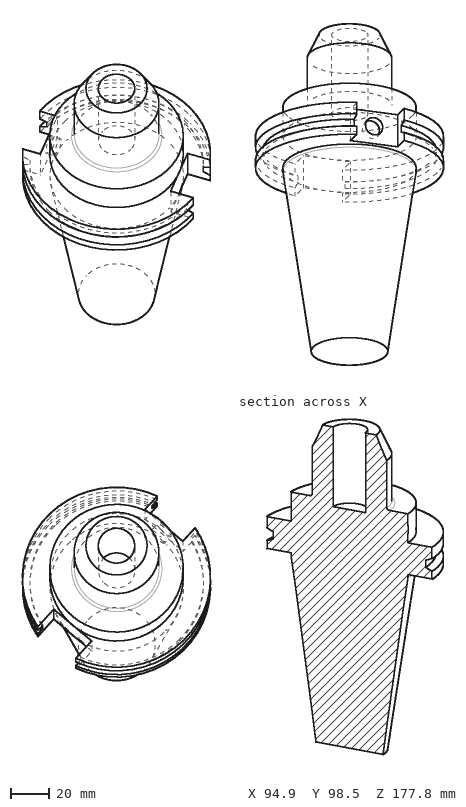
import cadquery as cq

total_height = 177.8
taper_top = 101.3
flange_bottom = 103.0
flange_top = 120.9
collar_top = 137.0
nose_shoulder = 164.6

taper_small_diameter = 40.2
taper_large_diameter = 69.9
flange_diameter = 98.5
collar_diameter = 69.9
nose_diameter = 44.5
nose_tip_diameter = 32.0
nose_fillet_radius = 1.5

groove_floor_diameter = 90.9
groove_middle = 111.0
groove_mouth_width = 7.0
groove_floor_width = 3.7

slot_width = 26.3
minus_x_slot_floor = 37.7
plus_x_slot_floor = 34.8

bore_diameter = 19.0
bore_depth = 44.5
side_hole_diameter = 9.6
side_hole_depth = 5.0
side_hole_height = 112.7


def revolved_body():
    """Taper, grooved flange, collar and nose turned about Z."""
    flange_radius = flange_diameter / 2
    groove_radius = groove_floor_diameter / 2
    collar_radius = collar_diameter / 2
    nose_radius = nose_diameter / 2
    profile = (
        cq.Workplane("XZ")
        .lineTo(taper_small_diameter / 2, 0)
        .lineTo(taper_large_diameter / 2, taper_top)
        .lineTo(taper_large_diameter / 2, flange_bottom)
        .lineTo(flange_radius, flange_bottom)
        .lineTo(flange_radius, groove_middle - groove_mouth_width / 2)
        .lineTo(groove_radius, groove_middle - groove_floor_width / 2)
        .lineTo(groove_radius, groove_middle + groove_floor_width / 2)
        .lineTo(flange_radius, groove_middle + groove_mouth_width / 2)
        .lineTo(flange_radius, flange_top)
        .lineTo(collar_radius, flange_top)
        .lineTo(collar_radius, collar_top)
        .lineTo(nose_radius + nose_fillet_radius, collar_top)
        .radiusArc((nose_radius, collar_top + nose_fillet_radius), nose_fillet_radius)
        .lineTo(nose_radius, nose_shoulder)
        .lineTo(nose_tip_diameter / 2, total_height)
        .lineTo(0, total_height)
        .close()
    )
    return profile.revolve(360, (0, 0, 0), (0, 1, 0))


def drive_slot(side, floor_distance):
    """Cutter from the slot floor outward past the rim; side is -1 or +1 along X."""
    cutter_length = flange_diameter / 2
    return cq.Workplane("XY").box(
        cutter_length, slot_width, flange_top - flange_bottom, centered=(True, True, False)
    ).translate((side * (floor_distance + cutter_length / 2), 0, flange_bottom))


def tool_bore():
    """Blind bore entering from the nose tip."""
    bore_floor = total_height - bore_depth
    return cq.Workplane("XY", origin=(0, 0, bore_floor)).circle(bore_diameter / 2).extrude(bore_depth)


def side_hole():
    """Blind radial hole entering from the -X slot floor."""
    entry = (-minus_x_slot_floor, 0, side_hole_height)
    return cq.Workplane("YZ", origin=entry).circle(side_hole_diameter / 2).extrude(side_hole_depth)


result = (
    revolved_body()
    .cut(drive_slot(-1, minus_x_slot_floor))
    .cut(drive_slot(1, plus_x_slot_floor))
    .cut(tool_bore())
    .cut(side_hole())
)